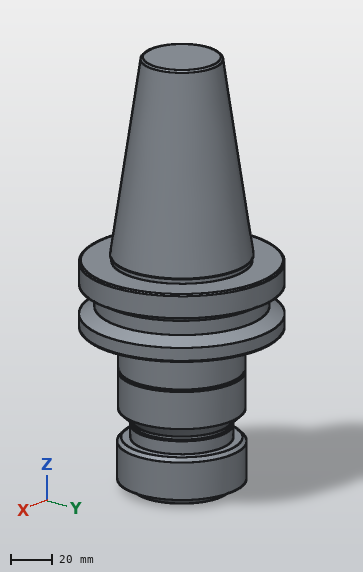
import cadquery as cq

total_height = 221.8

gauge_z = 120.0
gauge_radius = 34.93
taper_ratio = 7 / 24
taper_top_radius = gauge_radius - (total_height - gauge_z) * taper_ratio / 2
taper_top_chamfer = 1.0
relief_radius = 34.4
relief_step = 0.7

flange_radius = 50.02
flange_top_z = 117.0
flange_bottom_z = 82.0
flange_chamfer = 0.9
groove_radius = 42.5
groove_mouth_top_z = 105.0
groove_floor_top_z = 101.0
groove_floor_bottom_z = 93.5
groove_mouth_bottom_z = 89.5

body_radius = 31.0
body_bottom_z = 41.0
body_top_chamfer = 0.7
body_top_z = 81.5
line_groove_z = 60.8
line_groove_depth = 0.7

neck_radius = 25.0
neck_recess_radius = 24.5
neck_recess_top_z = 34.8
neck_recess_bottom_z = 33.3
neck_chamfer = neck_radius - neck_recess_radius

nut_radius = 31.5
nut_top_z = 26.0
nut_top_chamfer = 2.0
nut_bevel_z = 4.7
nut_bevel_radius = 30.0
nut_face_radius = 23.7

nut = [
    (0, 0),
    (nut_face_radius, 0),
    (nut_bevel_radius, nut_bevel_z),
    (nut_radius, nut_bevel_z),
    (nut_radius, nut_top_z - nut_top_chamfer),
    (nut_radius - nut_top_chamfer, nut_top_z),
]

neck = [
    (neck_radius, nut_top_z),
    (neck_radius, neck_recess_bottom_z - neck_chamfer),
    (neck_recess_radius, neck_recess_bottom_z),
    (neck_recess_radius, neck_recess_top_z),
]

body = [
    (body_radius, body_bottom_z),
    (body_radius, line_groove_z - line_groove_depth),
    (body_radius - line_groove_depth, line_groove_z),
    (body_radius, line_groove_z + line_groove_depth),
    (body_radius, body_top_z - body_top_chamfer),
    (body_radius - body_top_chamfer, body_top_z),
    (body_radius - body_top_chamfer, flange_bottom_z),
]

flange = [
    (flange_radius - flange_chamfer, flange_bottom_z),
    (flange_radius, flange_bottom_z + flange_chamfer),
    (flange_radius, groove_mouth_bottom_z),
    (groove_radius, groove_floor_bottom_z),
    (groove_radius, groove_floor_top_z),
    (flange_radius, groove_mouth_top_z),
    (flange_radius, flange_top_z - flange_chamfer),
    (flange_radius - flange_chamfer, flange_top_z),
]

shank = [
    (relief_radius, flange_top_z),
    (relief_radius, gauge_z - relief_step),
    (gauge_radius, gauge_z),
    (taper_top_radius, total_height - taper_top_chamfer),
    (taper_top_radius - taper_top_chamfer, total_height),
    (0, total_height),
]

profile = nut + neck + body + flange + shank
result = cq.Workplane("XZ").polyline(profile).close().revolve(360, (0, 0, 0), (0, 1, 0))